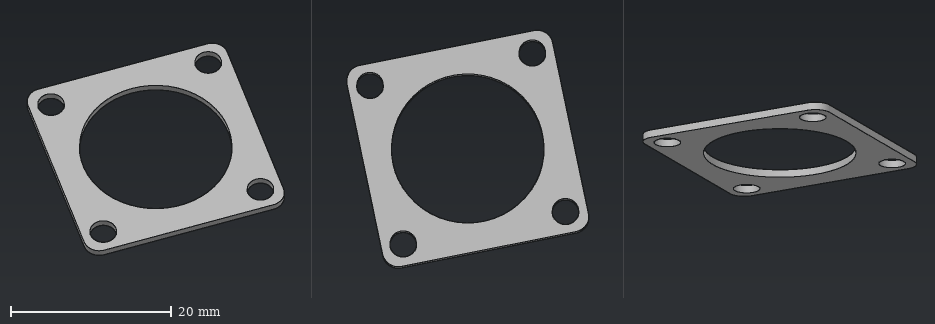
import cadquery as cq

side = 26.2
thickness = 1.0
corner_radius = 2.0
bore_diameter = 19.0
bolt_hole_diameter = 3.3
bolt_hole_pitch = 20.65

plate = cq.Workplane("XY").box(side, side, thickness).edges("|Z").fillet(corner_radius)

plate = plate.faces(">Z").workplane().hole(bore_diameter)

result = (
    plate.faces(">Z")
    .workplane()
    .rarray(bolt_hole_pitch, bolt_hole_pitch, 2, 2)
    .hole(bolt_hole_diameter)
)